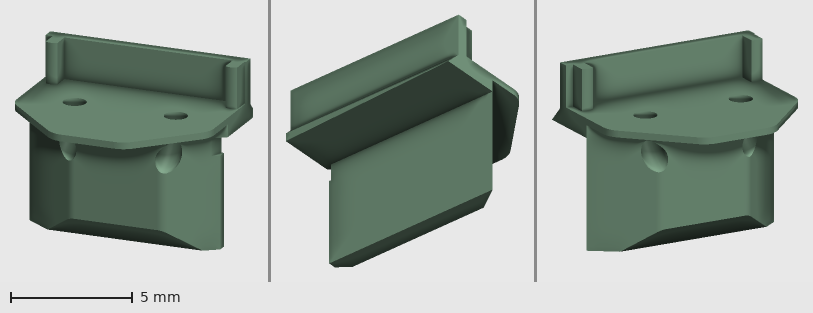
import cadquery as cq

width = 8.9
depth = 7.67
height = 7.5

plate_top = 5.7
plate_bottom = 5.4
left_clip = 2.99
right_clip = 2.72
clip_radius = 1.01

wall_back = 6.995
wall_front = 6.5
post_width = 0.52
post_front = 5.67
post_crown = 0.07
post_starts = (0.32, 8.32)
ledge_bottom = 4.85
ledge_right_depth = 7.3

plug_front = 2.99
plug_back = 4.79
plug_half_width = 4.58
plug_front_half_width = 2.06
plug_corner_radius = 0.66
plug_right = 8.64
plug_chamfer = 1.0

notch_bottom = 4.08
notch_front_x = 8.34
notch_back_x = 8.54

hole_radius = 0.5
hole_y = 4.005
hole_spacing = 4.5
bend_radius = 1.96


def make_plate():
    outline = [
        (0, wall_back), (0, left_clip), (left_clip, 0),
        (width - right_clip, 0), (width, right_clip), (width, wall_back),
    ]
    plate = cq.Workplane("XY").workplane(offset=plate_bottom).polyline(outline).close()
    plate = plate.extrude(plate_top - plate_bottom)
    return plate.edges("|Z and (not >Y)").fillet(clip_radius)


def make_rear():
    """Wall and ledge profile, with the ledge trimmed by a slanted back plane."""
    ledge_height = depth - wall_back
    profile = [
        (plug_back, ledge_bottom), (depth, ledge_bottom),
        (wall_back, ledge_bottom + ledge_height), (wall_back, height),
        (wall_front, height), (wall_front, plate_top), (plug_back, plate_top),
    ]
    rear = cq.Workplane("YZ").polyline(profile).close().extrude(width)
    footprint = [(0, 0), (width, 0), (width, ledge_right_depth), (0, depth)]
    return rear.intersect(cq.Workplane("XY").polyline(footprint).close().extrude(height))


def make_post(start):
    """Post with a gently rounded front, rooted in the plate and wall."""
    end = start + post_width
    side_front = post_front + post_crown
    return (
        cq.Workplane("XY").workplane(offset=plate_bottom)
        .moveTo(start, wall_back)
        .lineTo(start, side_front)
        .threePointArc((start + post_width / 2, post_front), (end, side_front))
        .lineTo(end, wall_back)
        .close()
        .extrude(height - plate_bottom)
    )


def make_plug():
    outline = [
        (0, plug_back),
        (plug_half_width - plug_front_half_width, plug_front),
        (plug_half_width + plug_front_half_width, plug_front),
        (2 * plug_half_width, plug_back),
    ]
    plug = cq.Workplane("XY").polyline(outline).close().extrude(plate_bottom)
    plug = plug.edges("|Z and <Y").fillet(plug_corner_radius)

    side_profile = [
        (0, 0), (plug_right, 0), (plug_right, ledge_bottom),
        (width, ledge_bottom), (width, plate_bottom), (0, plate_bottom),
    ]
    plug = plug.intersect(cq.Workplane("XZ").polyline(side_profile).close().extrude(-plug_back))

    chamfer = [
        (plug_front, 0), (plug_front + plug_chamfer, 0), (plug_front, plug_chamfer),
    ]
    plug = plug.cut(cq.Workplane("YZ").polyline(chamfer).close().extrude(width))
    return plug.cut(make_notch())


def make_notch():
    """Notch with a slanted inner wall that meets the sloping plug face."""
    slope = (plug_back - plug_front) / (plug_half_width - plug_front_half_width)
    slope_y = plug_back - slope * (2 * plug_half_width - notch_front_x)
    outline = [
        (notch_front_x, slope_y), (width, slope_y),
        (width, plug_back), (notch_back_x, plug_back),
    ]
    notch = cq.Workplane("XY").workplane(offset=notch_bottom).polyline(outline).close()
    return notch.extrude(ledge_bottom - notch_bottom)


def make_curved_hole(x):
    """Round hole along a quarter circle, from vertical at the plate top toward the front."""
    return (
        cq.Workplane("XY").workplane(offset=plate_top)
        .center(x, hole_y)
        .circle(hole_radius)
        .revolve(90, (0, -bend_radius, 0), (-1, -bend_radius, 0))
    )


result = make_plate().union(make_rear()).union(make_plug())
for post_start in post_starts:
    result = result.union(make_post(post_start))
for side in (-1, 1):
    result = result.cut(make_curved_hole(plug_half_width + side * hole_spacing / 2))